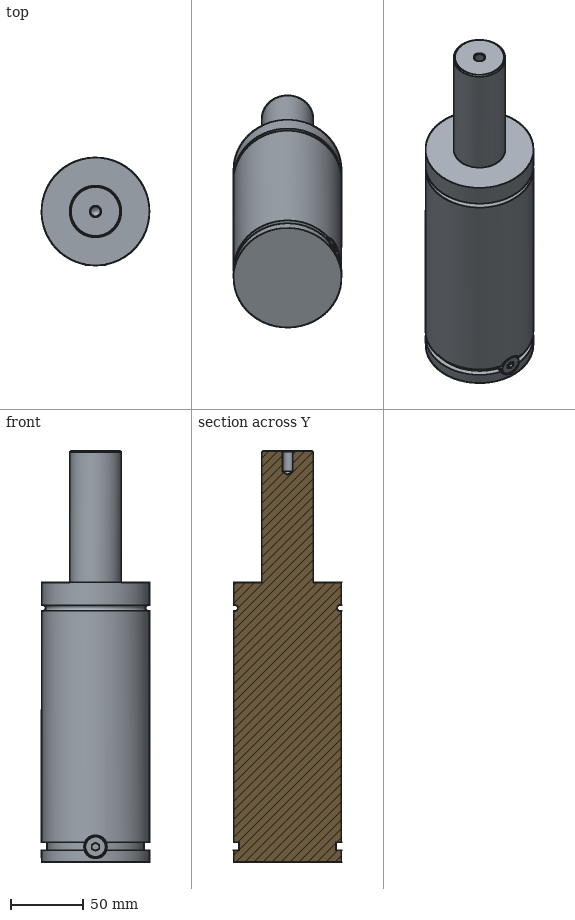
import cadquery as cq
import math

total_height = 285.0
body_height = 193.8
body_radius = 75.0 / 2
rod_radius = 36.0 / 2
rod_chamfer = 1.0

upper_groove_z = 176.0
upper_groove_radius = 2.0
upper_groove_depth = 2.8

lower_groove_bottom = 8.3
lower_groove_top = 13.7
lower_groove_depth = 3.7

rod_hole_diameter = 6.8
rod_hole_mouth_diameter = 8.0
rod_hole_depth = 14.2
drill_point_angle = 118.0

plug_z = 10.5
port_diameter = 16.0
port_depth = 5.5
plug_diameter = 14.0
plug_recess = 0.3
hex_corner_diameter = 5.7
hex_depth = 2.8
corner_up_angle = 90.0


def cylinder_with_rod():
    """Plain body and its chamfered piston rod."""
    body = cq.Workplane("XY").circle(body_radius).extrude(body_height)
    rod = cq.Workplane("XY").circle(rod_radius).extrude(total_height)
    return body.union(rod.faces(">Z").chamfer(rod_chamfer))


def upper_groove():
    """Ring cutter with straight flanks and a semicircular bottom."""
    arc_center = body_radius - upper_groove_depth + upper_groove_radius
    top = upper_groove_z + upper_groove_radius
    bottom = upper_groove_z - upper_groove_radius
    profile = (
        cq.Workplane("XZ")
        .moveTo(body_radius, bottom)
        .lineTo(arc_center, bottom)
        .threePointArc((body_radius - upper_groove_depth, upper_groove_z), (arc_center, top))
        .lineTo(body_radius, top)
        .close()
    )
    return profile.revolve(360, (0, 0), (0, 1))


def lower_groove():
    """Ring cutter of rectangular section."""
    return (
        cq.Workplane("XY", origin=(0, 0, lower_groove_bottom))
        .circle(body_radius)
        .circle(body_radius - lower_groove_depth)
        .extrude(lower_groove_top - lower_groove_bottom)
    )


def plug_disc(diameter, depth):
    """Disc along Y with its outer face level with the body's -Y tangent."""
    face_plane = cq.Workplane("XZ", origin=(0, -body_radius, plug_z))
    return face_plane.circle(diameter / 2).extrude(-depth)


def plug_socket():
    """Hexagon socket with corners pointing up and down."""
    return (
        cq.Workplane("XZ", origin=(0, -body_radius, plug_z))
        .transformed(rotate=(0, 0, corner_up_angle))
        .polygon(6, hex_corner_diameter)
        .extrude(-hex_depth)
    )


def rod_hole():
    """Blind hole cutter with a conical drill point and a 45 degree mouth."""
    drill_radius = rod_hole_diameter / 2
    mouth_radius = rod_hole_mouth_diameter / 2
    point_height = drill_radius / math.tan(math.radians(drill_point_angle / 2))
    hole_bottom = total_height - rod_hole_depth
    profile = (
        cq.Workplane("XZ")
        .moveTo(0, hole_bottom - point_height)
        .lineTo(drill_radius, hole_bottom)
        .lineTo(drill_radius, total_height - (mouth_radius - drill_radius))
        .lineTo(mouth_radius, total_height)
        .lineTo(0, total_height)
        .close()
    )
    return profile.revolve(360, (0, 0), (0, 1))


result = (
    cylinder_with_rod()
    .cut(upper_groove())
    .cut(lower_groove())
    .cut(plug_disc(port_diameter, port_depth))
    .union(plug_disc(plug_diameter, port_depth).translate((0, plug_recess, 0)))
    .cut(plug_socket())
    .cut(rod_hole())
)